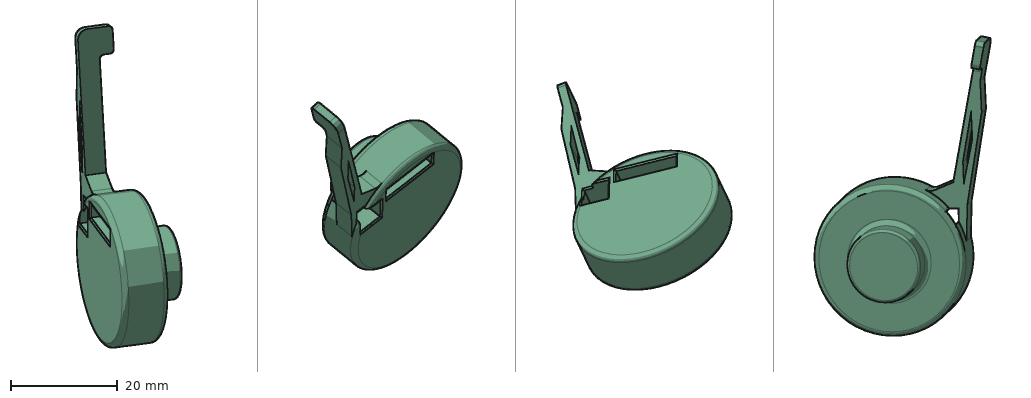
import cadquery as cq
import math


overall_height = 56.95

disk_diameter = 29.0
disk_thickness = 9.0
rim_radius = 1.0
hub_diameter = 14.0
hub_height = 5.1
hub_edge_radius = 0.5

arm_front = rim_radius
arm_thickness = 4.1
arm_back = arm_front + arm_thickness
hook_back = disk_thickness - rim_radius
arm_lean = math.radians(10)
arm_top = overall_height - disk_diameter / 2
tip_width = 1.7
web_corner = (-11.45, 14.75)
web_end = (-5.45, 11.95)
web_root = (-6.8, 12.8)
web_blend_radius = 2.0
foot = (-14.0, 3.4)
outer_kinks = [(-14.2, 10.65), (-16.9, 28.35), (-16.65, 34.35)]
slot_corners = [(-14.9, 28.5), (-15.1, 23.25), (-13.5, 14.5), (-13.35, 18.8)]

hook_height = 5.35
hook_nose_radius = 2.0
hook_corner_radius = 0.85

pocket_depth = hook_back
pocket_tilt = -1.5
pocket_chamfer = 0.315
side_pocket = (-9.9, 7.05, 5.25, 5.25)
top_pocket = (0.2, 9.9, 12.0, 2.95)


def front_plane(y):
    """XZ sketch plane at the given Y; a negative extrusion runs towards +Y."""
    return cq.Workplane("XZ", origin=(0, y, 0))


def make_disk():
    disk = front_plane(0).circle(disk_diameter / 2).extrude(-disk_thickness)
    hub = front_plane(disk_thickness).circle(hub_diameter / 2).extrude(-hub_height)
    body = disk.union(hub)
    hub_circles = body.edges(cq.selectors.RadiusNthSelector(0))
    body = hub_circles.edges("<Y").fillet(rim_radius)
    rim_circles = body.edges(cq.selectors.RadiusNthSelector(-1))
    body = rim_circles.fillet(rim_radius)
    return body.faces(">Y").edges().fillet(hub_edge_radius)


def hook_envelope(tip):
    """Side profile of the arm, extruded square to its straight edge."""
    plane = cq.Plane(
        origin=(tip[0], 0, tip[1]),
        xDir=(0, 1, 0),
        normal=(math.cos(arm_lean), 0, math.sin(arm_lean)),
    )
    below_foot = -2 * arm_top
    profile = [
        (arm_front, 0),
        (hook_back, 0),
        (hook_back, -hook_height),
        (arm_back, -hook_height),
        (arm_back, below_foot),
        (arm_front, below_foot),
    ]
    envelope = cq.Workplane(plane).polyline(profile).close().extrude(arm_top, both=True)

    def corner(y, down):
        point = plane.toWorldCoords((y, -down, 0))
        return cq.selectors.NearestToPointSelector(point.toTuple())

    envelope = envelope.edges(corner(arm_front, 0)).fillet(hook_nose_radius)
    for y, down in [(hook_back, 0), (hook_back, hook_height), (arm_back, hook_height)]:
        envelope = envelope.edges(corner(y, down)).fillet(hook_corner_radius)
    return envelope


def make_arm():
    rise = arm_top - web_corner[1]
    tip_right = (web_corner[0] - rise * math.tan(arm_lean), arm_top)
    tip_left = (
        tip_right[0] - tip_width * math.cos(arm_lean),
        tip_right[1] - tip_width * math.sin(arm_lean),
    )
    outline = [foot, *outer_kinks, tip_left, tip_right, web_corner, web_end]
    bar = front_plane(arm_front).polyline(outline).close().extrude(arm_front - hook_back)
    bar = bar.intersect(hook_envelope(tip_right))

    core = front_plane(arm_front).circle(disk_diameter / 2).extrude(-arm_thickness)
    middle_y = (arm_front + arm_back) / 2
    root_point = (web_root[0], middle_y, web_root[1])
    web_edge = cq.selectors.NearestToPointSelector(root_point)
    arm = bar.union(core).edges("|Y").edges(web_edge).fillet(web_blend_radius)

    slot = front_plane(arm_front).polyline(slot_corners).close().extrude(-arm_thickness)
    return arm.cut(slot).cut(pocket_cutter(side_pocket, arm_front))


def pocket_cutter(pocket, front):
    """Tilted rectangular pocket whose chamfered mouth is at Y = front."""
    x, z, width, height = pocket
    plane = front_plane(front).center(x, z).transformed(rotate=(0, 0, pocket_tilt))
    hole = plane.rect(width, height).extrude(front - pocket_depth)
    mouth = plane.rect(width + 2 * pocket_chamfer, height + 2 * pocket_chamfer)
    return hole.union(mouth.extrude(-pocket_chamfer, taper=45))


result = make_disk().union(make_arm())
for pocket in (side_pocket, top_pocket):
    result = result.cut(pocket_cutter(pocket, 0))